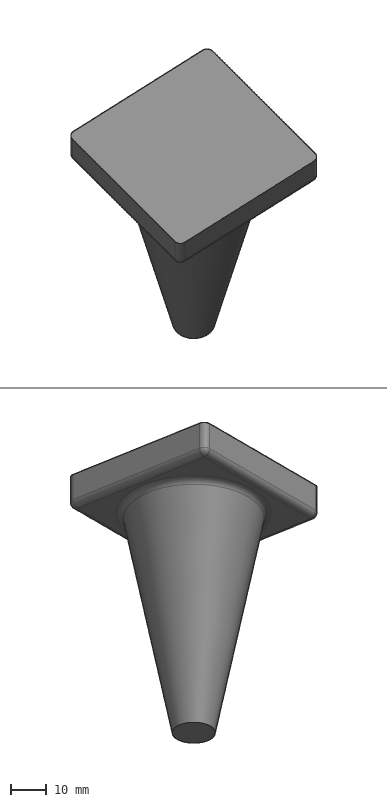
import cadquery as cq

plate_side = 50.0
plate_thickness = 10.0
edge_radius = 2.0

total_height = 80
stem_length = total_height - plate_thickness
tip_diameter = 12
root_diameter = 40


def make_plate():
    """Square plate resting on the stem root, with rounded corners and lower rim."""
    plate = (
        cq.Workplane("XY")
        .workplane(offset=stem_length)
        .rect(plate_side, plate_side)
        .extrude(plate_thickness)
    )
    return plate.edges("|Z").fillet(edge_radius).faces("<Z").edges().fillet(edge_radius)


def make_stem():
    """Cone frustum standing on its small end at Z = 0."""
    stem = cq.Solid.makeCone(tip_diameter / 2, root_diameter / 2, stem_length)
    return cq.Workplane(obj=stem)


def round_stem_root(body):
    """Blend the stem into the underside of the plate."""
    root_circle = cq.selectors.RadiusNthSelector(-1)
    return body.edges("%CIRCLE").edges(root_circle).fillet(edge_radius)


result = round_stem_root(make_plate().union(make_stem()))